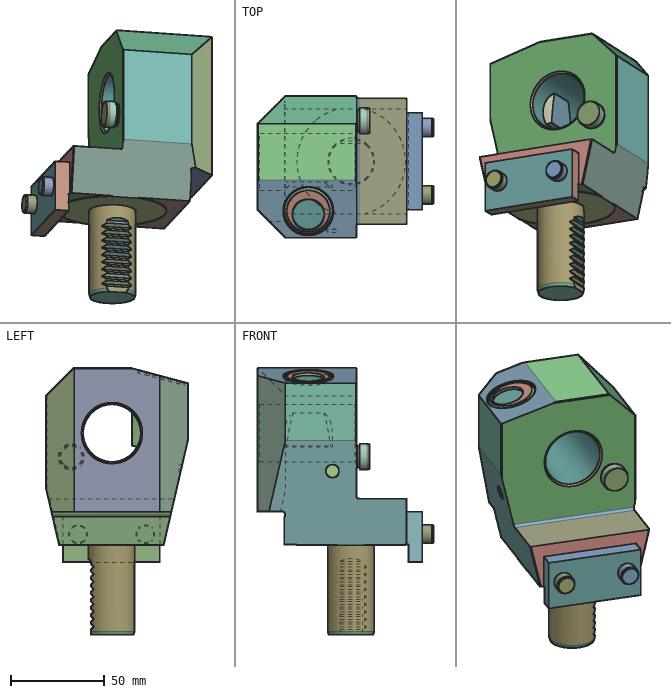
import math

import cadquery as cq


HEAD_LEFT = -50.0
HEAD_RIGHT = 3.0
HEAD_BACK = 35.0
HEAD_FRONT = -41.0
TOP_Z = 95.0
OVERHANG_Z = 18.0
BASE_LEFT = -35.7
BASE_RIGHT = 30.0
BASE_TOP_Z = 25.0
BASE_BOTTOM_Z = 0.4
SEAT_HALF_WIDTH = 28.0
SIDE_TAPER = math.tan(math.radians(13))
CORNER_BEVEL = 15.0
EDGE_BREAK = 0.5
INNER_FILLET = 1.3
UNDERCUT_DEPTH = 0.4
UNDERCUT_RADIUS = 1.4
UNDERCUT_LENGTH = 2.8
SEAT_PAD_RADIUS = 29.0

BORE_Y = -0.3
BORE_Z = 60.0
BORE_DIAMETER = 30.7
BORE_CHAMFER = 1.0

ROOF_TILT = 15.0
ROOF_BREAK_Y = -10.0
BOLT_X = -22.8
BOLT_Y = -26.7
BOLT_DIAMETER = 26.0
BOLT_CHAMFER = 1.5
BOLT_LENGTH = 40.0
BOLT_FLAT_Y = -11.0
BOLT_HOLE_CHAMFER = 0.5
BOLT_RECESS_DIAMETER = 17.0
BOLT_RECESS_DEPTH = 1.5
BOLT_RECESS_OFFSET = 2.0

SHANK_RADIUS = 12.5
SHANK_LENGTH = 48.0
SHANK_LEAD_LENGTH = 2.0
SHANK_LEAD_DEPTH = 0.6
RACK_FLAT_Y = 11.0
RACK_FLAT_START_Z = -8.5
TOOTH_DEPTH = 1.5
TOOTH_PITCH = 4.0
TOOTH_COUNT = 9
FIRST_GROOVE_Z = -11.5

PLATE_RIGHT = 38.2
PLATE_HALF_WIDTH = 26.0
PLATE_BOTTOM_Z = -9.0
PLATE_RELIEF = 0.8
SCREW_SPACING = 36.0
SCREW_Z = 6.0
SCREW_DIAMETER = 10.0
SCREW_HEIGHT = 6.0
SCREW_CHAMFER_LENGTH = 0.9
SCREW_CHAMFER_DEPTH = 0.5

NOZZLE_Y = 21.6
NOZZLE_Z = 47.4
NOZZLE_COLLAR_RADIUS = 6.2
NOZZLE_COLLAR_LENGTH = 0.7
NOZZLE_NECK_RADIUS = 5.7
NOZZLE_HEAD_START = 1.7
NOZZLE_RADIUS = 7.0
NOZZLE_LENGTH = 7.0
NOZZLE_CHAMFER_LENGTH = 1.4
NOZZLE_CHAMFER_DEPTH = 0.4

PORT_X = -9.9
PORT_Z = 39.7
PORT_DIAMETER = 7.0
PORT_FLOOR_Y = -36.0

EMBED = 2.0
CLEAR = 10.0
SELECT_MARGIN = 1.0


def side_profile():
    """Body outline in the XZ plane, extruded over the full width."""
    neck_x = BASE_LEFT + UNDERCUT_DEPTH
    arc_start_x = neck_x - UNDERCUT_RADIUS
    arc_end_z = OVERHANG_Z - UNDERCUT_RADIUS
    arc_offset = UNDERCUT_RADIUS * math.sqrt(0.5)
    arc_mid = (arc_start_x + arc_offset, arc_end_z + arc_offset)
    undercut_end_z = OVERHANG_Z - UNDERCUT_LENGTH
    outline = (
        cq.Workplane("XZ", origin=(0, HEAD_BACK, 0))
        .moveTo(HEAD_LEFT, TOP_Z)
        .lineTo(HEAD_LEFT, OVERHANG_Z)
        .lineTo(arc_start_x, OVERHANG_Z)
        .threePointArc(arc_mid, (neck_x, arc_end_z))
        .lineTo(neck_x, undercut_end_z + UNDERCUT_DEPTH)
        .lineTo(BASE_LEFT, undercut_end_z)
        .lineTo(BASE_LEFT, BASE_BOTTOM_Z)
        .lineTo(BASE_RIGHT, BASE_BOTTOM_Z)
        .lineTo(BASE_RIGHT, BASE_TOP_Z)
        .lineTo(HEAD_RIGHT, BASE_TOP_Z)
        .lineTo(HEAD_RIGHT, TOP_Z)
        .close()
        .extrude(HEAD_BACK - HEAD_FRONT)
    )
    inner_corner = cq.selectors.BoxSelector(
        (HEAD_RIGHT - SELECT_MARGIN, HEAD_FRONT, BASE_TOP_Z - SELECT_MARGIN),
        (HEAD_RIGHT + SELECT_MARGIN, HEAD_BACK, BASE_TOP_Z + SELECT_MARGIN),
    )
    outline = outline.edges(inner_corner).fillet(INNER_FILLET)
    return outline.faces(">Z").edges("|Y").chamfer(EDGE_BREAK)


def end_profile():
    """Body outline in the YZ plane: tapered flanks, bevelled and sloping roof."""
    roof_low_z = TOP_Z - (ROOF_BREAK_Y - HEAD_FRONT) * math.tan(math.radians(ROOF_TILT))
    back_taper_z = (HEAD_BACK - SEAT_HALF_WIDTH) / SIDE_TAPER
    front_taper_z = (-HEAD_FRONT - SEAT_HALF_WIDTH) / SIDE_TAPER
    return (
        cq.Workplane("YZ", origin=(HEAD_LEFT, 0, 0))
        .polyline(
            [
                (-SEAT_HALF_WIDTH, 0),
                (SEAT_HALF_WIDTH, 0),
                (HEAD_BACK, back_taper_z),
                (HEAD_BACK, TOP_Z - CORNER_BEVEL),
                (HEAD_BACK - CORNER_BEVEL, TOP_Z),
                (ROOF_BREAK_Y, TOP_Z),
                (HEAD_FRONT, roof_low_z),
                (HEAD_FRONT, front_taper_z),
            ]
        )
        .close()
        .extrude(BASE_RIGHT - HEAD_LEFT)
    )


def plan_profile():
    """Body outline in the XY plane: bevelled left corners."""
    return (
        cq.Workplane("XY")
        .box(BASE_RIGHT - HEAD_LEFT, HEAD_BACK - HEAD_FRONT, TOP_Z, centered=False)
        .translate((HEAD_LEFT, HEAD_FRONT, 0))
        .edges("|Z and <X")
        .chamfer(CORNER_BEVEL)
    )


def break_right_edges(body):
    """Small chamfers on the upright edges of the right head face and right base face."""
    head_face = cq.selectors.BoxSelector(
        (HEAD_RIGHT - EDGE_BREAK, HEAD_FRONT - SELECT_MARGIN, BASE_TOP_Z),
        (HEAD_RIGHT + EDGE_BREAK, HEAD_BACK + SELECT_MARGIN, TOP_Z),
    )
    body = body.edges("|Z").edges(head_face).chamfer(EDGE_BREAK)
    return body.faces(">X").edges("not |Y").chamfer(EDGE_BREAK)


def seat_pad(envelope):
    """Round raised pad under the base, trimmed by the tapered flanks."""
    disc = cq.Workplane("XY").circle(SEAT_PAD_RADIUS).extrude(BASE_BOTTOM_Z)
    return disc.intersect(envelope)


def tool_bore():
    """Through bore along X, chamfered at both mouths."""
    radius = BORE_DIAMETER / 2
    mouth = radius + BORE_CHAMFER
    length = HEAD_RIGHT - HEAD_LEFT
    half_section = [
        (0, 0),
        (0, mouth),
        (BORE_CHAMFER, radius),
        (length - BORE_CHAMFER, radius),
        (length, mouth),
        (length, 0),
    ]
    return turned_along_x(half_section, HEAD_LEFT, BORE_Y, BORE_Z)


def turned_along_x(half_section, x, y, z):
    """Solid of revolution about the X direction; points are (length, radius)."""
    return (
        cq.Workplane("XY", origin=(x, y, z))
        .polyline(half_section)
        .close()
        .revolve(360, (0, 0), (1, 0))
    )


def bolt_plane():
    """Plane on the sloping roof at the bolt centre, local Y pointing up the slope."""
    tilt = math.radians(ROOF_TILT)
    roof_z = TOP_Z - (ROOF_BREAK_Y - BOLT_Y) * math.tan(tilt)
    return cq.Plane(
        origin=(BOLT_X, BOLT_Y, roof_z),
        xDir=(1, 0, 0),
        normal=(0, -math.sin(tilt), math.cos(tilt)),
    )


def bolt_shank():
    """Clamping bolt with a flat facing the bore axis."""
    bolt = cq.Workplane(bolt_plane()).circle(BOLT_DIAMETER / 2).extrude(-BOLT_LENGTH)
    keep_width = BOLT_FLAT_Y - HEAD_FRONT
    keep = cq.Workplane("XY").box(2 * BOLT_DIAMETER, keep_width, TOP_Z, centered=(True, False, False))
    return bolt.intersect(keep.translate((BOLT_X, HEAD_FRONT, 0)))


def bolt_surround():
    """Groove left by the chamfers of bolt and hole, and the off-centre recess."""
    plane = bolt_plane()
    bolt_radius = BOLT_DIAMETER / 2
    groove = (
        cq.Workplane(cq.Plane(plane.origin, plane.xDir, plane.yDir * -1))
        .polyline(
            [
                (bolt_radius - BOLT_CHAMFER, 0),
                (bolt_radius, -BOLT_CHAMFER),
                (bolt_radius, -BOLT_HOLE_CHAMFER),
                (bolt_radius + BOLT_HOLE_CHAMFER, 0),
            ]
        )
        .close()
        .revolve(360, (0, 0), (0, 1))
    )
    recess = (
        cq.Workplane(plane)
        .center(0, -BOLT_RECESS_OFFSET)
        .circle(BOLT_RECESS_DIAMETER / 2)
        .extrude(-BOLT_RECESS_DEPTH)
    )
    return groove.union(recess)


def shank():
    """Round shank with a tapered lead and a rack of 90 degree grooves along its back."""
    lead_radius = SHANK_RADIUS - SHANK_LEAD_DEPTH
    body = (
        cq.Workplane("XZ")
        .polyline(
            [
                (0, EMBED),
                (SHANK_RADIUS, EMBED),
                (SHANK_RADIUS, SHANK_LEAD_LENGTH - SHANK_LENGTH),
                (lead_radius, -SHANK_LENGTH),
                (0, -SHANK_LENGTH),
            ]
        )
        .close()
        .revolve(360, (0, 0), (0, 1))
    )
    outer_y = SHANK_RADIUS + CLEAR
    runout_z = RACK_FLAT_START_Z + outer_y - RACK_FLAT_Y
    flat = [
        (RACK_FLAT_Y, -SHANK_LENGTH),
        (RACK_FLAT_Y, RACK_FLAT_START_Z),
        (outer_y, runout_z),
        (outer_y, -SHANK_LENGTH),
    ]
    body = body.cut(bar_along_x(flat))
    for index in range(TOOTH_COUNT):
        z = FIRST_GROOVE_Z - index * TOOTH_PITCH
        groove = [
            (RACK_FLAT_Y - TOOTH_DEPTH, z),
            (RACK_FLAT_Y, z + TOOTH_DEPTH),
            (RACK_FLAT_Y, z - TOOTH_DEPTH),
        ]
        body = body.cut(bar_along_x(groove))
    return body


def bar_along_x(section):
    """Prism along X, wide enough to cross the shank; points are (y, z)."""
    return cq.Workplane("YZ").polyline(section).close().extrude(SHANK_RADIUS + CLEAR, both=True)


def stop_plate():
    """Plate on the right of the base, hanging below it with a small relief."""
    plate = (
        cq.Workplane("XZ")
        .polyline(
            [
                (BASE_RIGHT - EMBED, BASE_BOTTOM_Z),
                (BASE_RIGHT - EMBED, OVERHANG_Z),
                (PLATE_RIGHT, OVERHANG_Z),
                (PLATE_RIGHT, PLATE_BOTTOM_Z),
                (BASE_RIGHT + PLATE_RELIEF, PLATE_BOTTOM_Z),
                (BASE_RIGHT + PLATE_RELIEF, BASE_BOTTOM_Z),
            ]
        )
        .close()
        .extrude(PLATE_HALF_WIDTH, both=True)
    )
    radius = SCREW_DIAMETER / 2
    head = [
        (-EMBED, 0),
        (-EMBED, radius),
        (SCREW_HEIGHT - SCREW_CHAMFER_LENGTH, radius),
        (SCREW_HEIGHT, radius - SCREW_CHAMFER_DEPTH),
        (SCREW_HEIGHT, 0),
    ]
    for y in (-SCREW_SPACING / 2, SCREW_SPACING / 2):
        plate = plate.union(turned_along_x(head, PLATE_RIGHT, y, SCREW_Z))
    return plate


def coolant_nozzle():
    """Stepped nozzle: collar, neck and chamfered head."""
    half_section = [
        (-EMBED, 0),
        (-EMBED, NOZZLE_COLLAR_RADIUS),
        (NOZZLE_COLLAR_LENGTH, NOZZLE_COLLAR_RADIUS),
        (NOZZLE_COLLAR_LENGTH, NOZZLE_NECK_RADIUS),
        (NOZZLE_HEAD_START, NOZZLE_NECK_RADIUS),
        (NOZZLE_HEAD_START, NOZZLE_RADIUS),
        (NOZZLE_LENGTH - NOZZLE_CHAMFER_LENGTH, NOZZLE_RADIUS),
        (NOZZLE_LENGTH, NOZZLE_RADIUS - NOZZLE_CHAMFER_DEPTH),
        (NOZZLE_LENGTH, 0),
    ]
    return turned_along_x(half_section, HEAD_RIGHT, NOZZLE_Y, NOZZLE_Z)


def flank_port():
    """Shallow round hole along Y in the tapered front flank."""
    return (
        cq.Workplane("XZ", origin=(PORT_X, PORT_FLOOR_Y, PORT_Z))
        .circle(PORT_DIAMETER / 2)
        .extrude(CLEAR)
    )


envelope = end_profile()
result = side_profile().intersect(envelope).intersect(plan_profile())
result = break_right_edges(result)
result = result.union(seat_pad(envelope))
result = result.cut(tool_bore())
result = result.union(bolt_shank())
result = result.cut(bolt_surround())
result = result.cut(flank_port())
result = result.union(shank())
result = result.union(stop_plate())
result = result.union(coolant_nozzle())